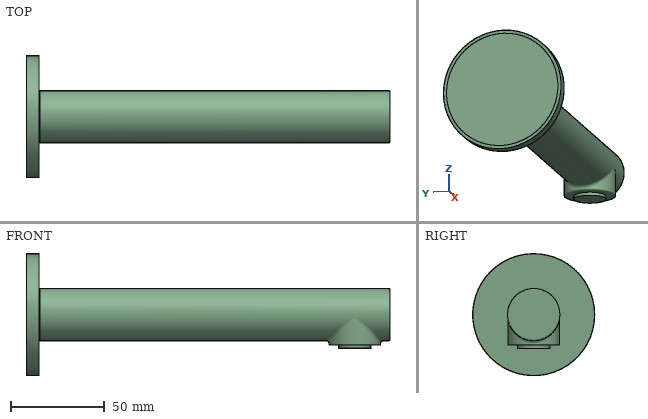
import cadquery as cq

total_length = 193.5
flange_diameter = 65.0
flange_thickness = 6.8
flange_edge_fillet = 0.4
rim_width = 1.7
backing_thickness = 3.5
tube_diameter = 27.9
tube_end_fillet = 0.8
gasket_thickness = 0.4
nozzle_diameter = 27.5
nozzle_x = 174.7
nozzle_reach = 16.3
nozzle_edge_fillet = 0.5
nozzle_blend_radius = 1.5
aerator_diameter = 17.2
aerator_protrusion = 1.7
aerator_depth = 3.9

backing_diameter = flange_diameter - 2 * rim_width
tube_start = flange_thickness + gasket_thickness


def disc_along_x(diameter, start, length):
    """Cylinder on the spout axis, from X = start."""
    return cq.Workplane("YZ", origin=(start, 0, 0)).circle(diameter / 2).extrude(length)


def aerator_cylinder():
    """Vertical cylinder used for both the aerator and its seat."""
    bottom = -nozzle_reach - aerator_protrusion
    return (
        cq.Workplane("XY", origin=(nozzle_x, 0, bottom))
        .circle(aerator_diameter / 2)
        .extrude(aerator_protrusion + aerator_depth)
    )


def make_backing_plate():
    """Flat disc seated flush in the wall side of the flange."""
    return disc_along_x(backing_diameter, 0, backing_thickness)


def make_flange():
    """Round wall flange with a recess for the backing plate."""
    flange = disc_along_x(flange_diameter, 0, flange_thickness)
    flange = flange.faces(">X").edges().fillet(flange_edge_fillet)
    return flange.cut(make_backing_plate())


def make_gasket():
    """Thin washer between the flange and the spout, as wide as the tube."""
    return disc_along_x(tube_diameter, flange_thickness, gasket_thickness)


def make_spout():
    """Round tube with a blended nozzle pointing down and a seat for the aerator."""
    tube = disc_along_x(tube_diameter, tube_start, total_length - tube_start)
    nozzle = (
        cq.Workplane("XY", origin=(nozzle_x, 0, 0))
        .circle(nozzle_diameter / 2)
        .extrude(-nozzle_reach)
    )
    spout = tube.union(nozzle)
    spout = spout.edges("%BSPLINE").fillet(nozzle_blend_radius)
    spout = spout.faces("<Z").edges().fillet(nozzle_edge_fillet)
    spout = spout.faces(">X").edges().fillet(tube_end_fillet)
    return spout.cut(aerator_cylinder())


backing_plate = make_backing_plate()
flange = make_flange()
gasket = make_gasket()
spout = make_spout()
aerator = aerator_cylinder()

result = cq.Compound.makeCompound(
    [backing_plate.val(), flange.val(), gasket.val(), spout.val(), aerator.val()]
)